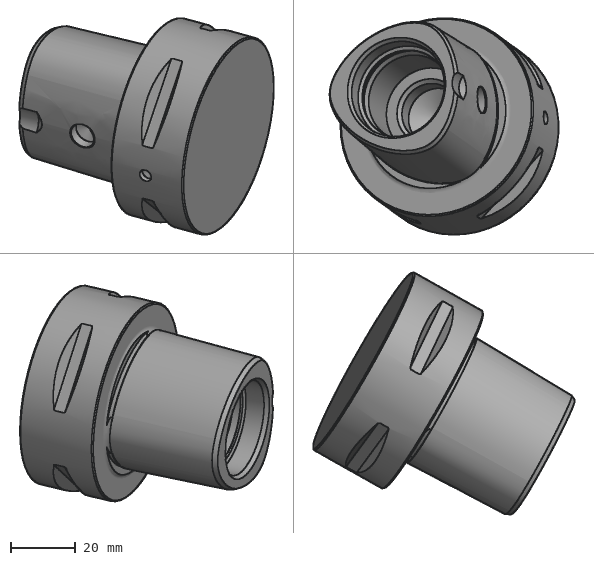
import cadquery as cq
import math

total_length = 63.0
flange_diameter = 63.0
flange_start = 38.0
flange_chamfer = 0.45

shank_length = 35.9
gauge_radius = 22.05
tip_chamfer_length = 1.6
chamfer_end_radius = 21.05
tip_radius = 20.3
lobe_height = 1.4
stretch_angle = 60
stretch_steps = 8

neck_step = 0.25
neck_end = 37.4
relief_radius = 22.3
relief_fillet = 1.9

mouth_radius = 16.0
entry_radius = 15.1
main_radius = 14.0
inner_radius = 13.7
mouth_chamfer_depth = 1.4
entry_depth = 7.55
main_start = 8.1
groove_start = 8.95
groove_end = 11.6
groove_depth = 0.55
narrowing_end = 13.35
floor_depth = 30.25
core_entry_radius = 10.2
core_radius = 9.0
core_end = 37.8

drill_half_angle = 59.0
shank_hole_diameter = 8.1
shank_hole_x = 22.55
shank_hole_depth = 3.8
shank_hole_mouth = 8.7
shank_hole_chamfer = 0.4
shank_flat = 20.2
flange_hole_diameter = 4.0
flange_hole_depth = 1.9
notch_radius = 5.85
notch_axis_offset = 24.0
notch_length = 6.4
notch_half_angle = 40.0

slot_x = 50.0
slot_floor_radius = 28.05
slot_floor_half_width = 1.45
slot_step_height = 0.1
slot_base_half_width = 1.9
slot_mouth_half_width = 3.9
slot_angles = (45, 135, 225, 315)

flange_radius = flange_diameter / 2


def lobed_outline(radius, x):
    """Constant-width outline in six stretches: three sharper lobes (one towards +Y), three flatter sides."""

    def point(degrees):
        angle = math.radians(degrees)
        reach = radius + lobe_height * math.cos(3 * angle)
        slope = -3 * lobe_height * math.sin(3 * angle)
        y = reach * math.cos(angle) - slope * math.sin(angle)
        z = reach * math.sin(angle) + slope * math.cos(angle)
        return cq.Vector(x, y, z)

    def tangent(degrees):
        angle = math.radians(degrees)
        return cq.Vector(0, -math.sin(angle), math.cos(angle))

    def stretch(start):
        end = start + stretch_angle
        points = [point(start + stretch_angle * i / stretch_steps) for i in range(stretch_steps + 1)]
        return cq.Edge.makeSpline(points, tangents=[tangent(start), tangent(end)])

    first = stretch_angle // 2
    return cq.Wire.assembleEdges([stretch(start) for start in range(first, first + 360, stretch_angle)])


def lobed_section(x_start, radius_start, x_end, radius_end):
    outlines = [lobed_outline(radius_start, x_start), lobed_outline(radius_end, x_end)]
    return cq.Workplane(obj=cq.Solid.makeLoft(outlines, True))


def revolve_about_x(profile):
    return profile.close().revolve(360, (0, 0, 0), (1, 0, 0))


def drill(radius, depth, start, direction, half_angle=drill_half_angle):
    """Round cutter with a conical point."""
    point_length = radius / math.tan(math.radians(half_angle))
    start = cq.Vector(*start)
    direction = cq.Vector(*direction)
    body = cq.Solid.makeCylinder(radius, depth, start, direction)
    tip = cq.Solid.makeCone(radius, 0, point_length, start + direction * depth, direction)
    return cq.Workplane(obj=body.fuse(tip))


def make_shank():
    tip = lobed_section(0, tip_radius, tip_chamfer_length, chamfer_end_radius)
    taper = lobed_section(tip_chamfer_length, chamfer_end_radius, shank_length, gauge_radius)
    return tip.union(taper)


def make_relief():
    """Round body that flares through a concave fillet into the flange face."""
    arc_start = flange_start - relief_fillet
    arc_mid_x = arc_start + relief_fillet * math.sin(math.pi / 4)
    arc_mid_radius = relief_radius + relief_fillet * (1 - math.cos(math.pi / 4))
    return revolve_about_x(
        cq.Workplane("XY")
        .moveTo(shank_length, 0)
        .lineTo(shank_length, relief_radius)
        .lineTo(arc_start, relief_radius)
        .threePointArc((arc_mid_x, arc_mid_radius), (flange_start, relief_radius + relief_fillet))
        .lineTo(flange_start, 0)
    )


def make_neck():
    """Lobed neck trimmed by the relief, then a full round collar at the flange."""
    relief = make_relief()
    neck_radius = gauge_radius - neck_step
    lobes = lobed_section(shank_length, neck_radius, flange_start, neck_radius)
    collar_length = flange_start - neck_end
    collar_zone = cq.Workplane("YZ", origin=(neck_end, 0, 0)).circle(flange_radius).extrude(collar_length)
    return lobes.intersect(relief).union(relief.intersect(collar_zone))


def make_flange():
    return (
        cq.Workplane("YZ", origin=(flange_start, 0, 0))
        .circle(flange_radius)
        .extrude(total_length - flange_start)
        .edges()
        .chamfer(flange_chamfer)
    )


def make_bore():
    core_lead = core_entry_radius - core_radius
    core_point = core_radius / math.tan(math.radians(drill_half_angle))
    return revolve_about_x(
        cq.Workplane("XY").polyline(
            [
                (0, 0),
                (0, mouth_radius),
                (mouth_chamfer_depth, entry_radius),
                (entry_depth, entry_radius),
                (main_start, main_radius),
                (groove_start, main_radius),
                (groove_start, main_radius + groove_depth),
                (groove_end, main_radius + groove_depth),
                (narrowing_end, inner_radius),
                (floor_depth, inner_radius),
                (floor_depth, core_entry_radius),
                (floor_depth + core_lead, core_radius),
                (core_end, core_radius),
                (core_end + core_point, 0),
            ]
        )
    )


def make_shank_hole():
    surface = (shank_hole_x, -shank_flat, 0)
    outside = (shank_hole_x, -flange_radius, 0)
    clearance = flange_radius - shank_flat
    hole = drill(shank_hole_diameter / 2, clearance + shank_hole_depth, outside, (0, 1, 0))
    chamfer = cq.Solid.makeCone(
        shank_hole_mouth / 2,
        shank_hole_diameter / 2,
        shank_hole_chamfer,
        cq.Vector(*surface),
        cq.Vector(0, 1, 0),
    )
    return hole.union(cq.Workplane(obj=chamfer))


def make_notch():
    """Drive notch that opens at the tip face."""
    return drill(notch_radius, notch_length, (0, -notch_axis_offset, 0), (1, 0, 0), notch_half_angle)


def make_flange_hole():
    return drill(flange_hole_diameter / 2, flange_hole_depth, (slot_x, -flange_radius, 0), (0, 1, 0))


def make_slot(angle):
    base_radius = slot_floor_radius + slot_step_height
    right_side = [
        (slot_floor_half_width, slot_floor_radius),
        (slot_base_half_width, base_radius),
        (slot_mouth_half_width, flange_radius),
    ]
    left_side = [(-x, r) for x, r in reversed(right_side)]
    return (
        cq.Workplane("XY", origin=(slot_x, 0, 0))
        .polyline(right_side + left_side)
        .close()
        .extrude(flange_radius, both=True)
        .rotate((0, 0, 0), (1, 0, 0), angle)
    )


result = make_shank().union(make_neck()).union(make_flange())
result = result.cut(make_bore())
result = result.cut(make_shank_hole())
result = result.cut(make_notch())
result = result.cut(make_flange_hole())
for slot_angle in slot_angles:
    result = result.cut(make_slot(slot_angle))